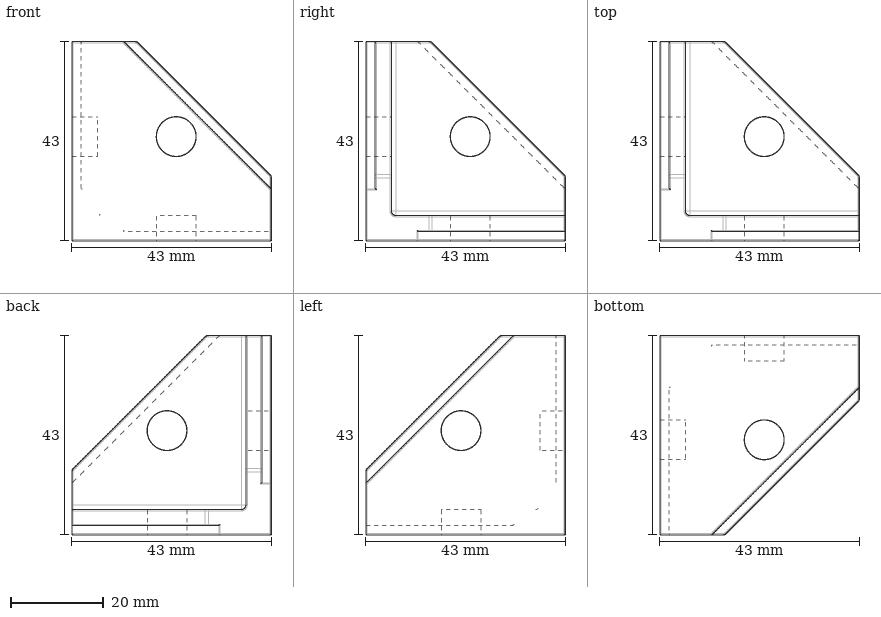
import cadquery as cq
import math

size = 43.0
wall = 5.5
short_side = 14.0
corner_round = 1.0
inside_round = 1.0
step_width = 2.0
step_depth = 2.0
edge_round = 0.3
hole_diameter = 8.5
hole_center = 22.5
tolerance = 0.0005

plate_planes = [
    cq.Plane(origin=(0, 0, 0), xDir=(1, 0, 0), normal=(0, 0, 1)),
    cq.Plane(origin=(0, 0, 0), xDir=(0, 1, 0), normal=(1, 0, 0)),
    cq.Plane(origin=(0, 0, 0), xDir=(0, 0, 1), normal=(0, 1, 0)),
]


def sloped_block(plane, straight_side, depth):
    """Square block with its far corner cut off at 45 degrees."""
    outline = [(0, 0), (size, 0), (size, straight_side), (straight_side, size), (0, size)]
    return cq.Workplane(plane).polyline(outline).close().extrude(depth)


def rounded_block(plane):
    """Full-depth sloped block with rounds at both ends of the slope."""
    block = sloped_block(plane, short_side, size)
    slope_ends = []
    for edge in block.edges(cq.selectors.ParallelDirSelector(plane.zDir)).vals():
        middle = plane.toLocalCoords(edge.Center())
        if abs(middle.x + middle.y - size - short_side) < tolerance:
            slope_ends.append(edge)
    return block.newObject(slope_ends).fillet(corner_round)


def slope_step(plane):
    """Material removed from the outer face along the slope."""
    shoulder_side = short_side - step_width * math.sqrt(2)
    square = cq.Workplane(plane).rect(size, size, centered=False).extrude(step_depth)
    return square.cut(sloped_block(plane, shoulder_side, step_depth))


def make_bracket():
    """Three stepped plates around an open cavity, with rounds between the plates."""
    bracket = cq.Workplane("XY").box(size, size, size, centered=False)
    for plane in plate_planes:
        bracket = bracket.intersect(rounded_block(plane))
    cavity = cq.Workplane("XY").box(size, size, size, centered=False).translate((wall, wall, wall))
    bracket = bracket.cut(cavity)
    inside_edges = [
        edge for edge in bracket.edges("|X or |Y or |Z").vals()
        if sum(abs(c - wall) < tolerance for c in edge.Center().toTuple()) == 2
    ]
    bracket = bracket.newObject(inside_edges).fillet(inside_round)
    for plane in plate_planes:
        bracket = bracket.cut(slope_step(plane))
    return bracket


def is_rim(edge):
    """True for the sharp outer edges and the inner rims of the plates."""
    middle = edge.positionAt(0.5).toTuple()
    ends = (edge.startPoint().toTuple(), edge.endPoint().toTuple())
    for axis in range(3):
        level = middle[axis]
        if max(abs(end[axis] - level) for end in ends) > tolerance:
            continue
        across = sum(middle) - level
        if abs(level) < tolerance or abs(level - size) < tolerance:
            return True
        if abs(level - wall) < tolerance and across > size:
            return True
        if abs(level - step_depth) < tolerance and across > size + short_side - tolerance:
            return True
    return False


def round_edges(bracket):
    """Round the rims, leaving the re-entrant corners of the steps sharp."""
    rims = [edge for edge in bracket.edges().vals() if is_rim(edge)]
    return bracket.newObject(rims).fillet(edge_round)


def drill_holes(bracket):
    """One through hole in each plate."""
    for plane in plate_planes:
        hole = cq.Workplane(plane).center(hole_center, hole_center).circle(hole_diameter / 2).extrude(wall)
        bracket = bracket.cut(hole)
    return bracket


result = drill_holes(round_edges(make_bracket()))